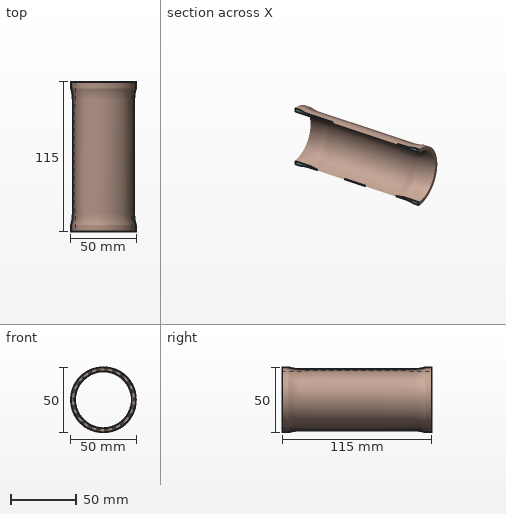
import cadquery as cq

length = 115.0
collar_radius = 50.0 / 2
tube_radius = 23.8
end_bore_radius = 21.7
middle_bore_radius = 22.9
collar_length = 5.0
flare_length = 7.8
end_bore_depth = 15.0
bore_blend_length = 6.7

end_y = length / 2
collar_y = end_y - collar_length
tube_y = collar_y - flare_length
end_bore_y = end_y - end_bore_depth
middle_bore_y = end_bore_y - bore_blend_length


def arc_middle_offset(run, rise):
    """Radial offset, halfway along, of an arc that starts parallel to the axis."""
    arc_radius = (run**2 + rise**2) / (2 * rise)
    return arc_radius - (arc_radius**2 - (run / 2) ** 2) ** 0.5


flare_middle_y = (tube_y + collar_y) / 2
flare_middle_radius = tube_radius + arc_middle_offset(flare_length, collar_radius - tube_radius)

blend_middle_y = (middle_bore_y + end_bore_y) / 2
blend_middle_radius = middle_bore_radius - arc_middle_offset(
    bore_blend_length, middle_bore_radius - end_bore_radius
)

wall = (
    cq.Workplane("XY")
    .moveTo(end_bore_radius, -end_y)
    .lineTo(collar_radius, -end_y)
    .lineTo(collar_radius, -collar_y)
    .threePointArc((flare_middle_radius, -flare_middle_y), (tube_radius, -tube_y))
    .lineTo(tube_radius, tube_y)
    .threePointArc((flare_middle_radius, flare_middle_y), (collar_radius, collar_y))
    .lineTo(collar_radius, end_y)
    .lineTo(end_bore_radius, end_y)
    .lineTo(end_bore_radius, end_bore_y)
    .threePointArc((blend_middle_radius, blend_middle_y), (middle_bore_radius, middle_bore_y))
    .lineTo(middle_bore_radius, -middle_bore_y)
    .threePointArc((blend_middle_radius, -blend_middle_y), (end_bore_radius, -end_bore_y))
    .close()
)

result = wall.revolve(360, (0, 0, 0), (0, 1, 0))